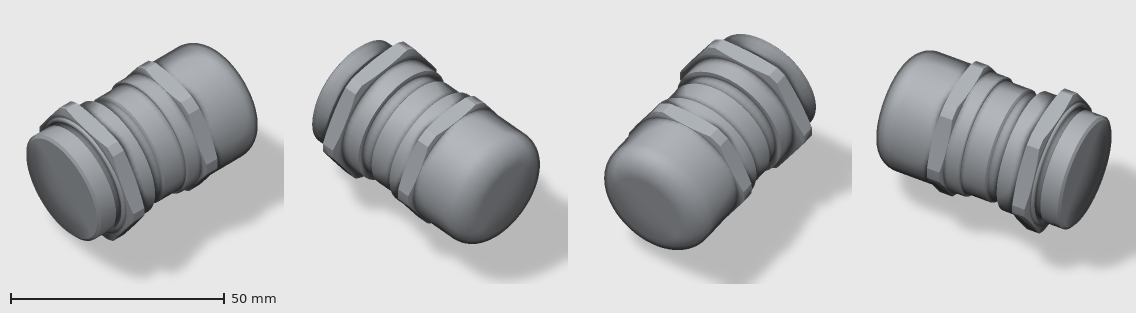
import cadquery as cq
import math

total_length = 49.75

thread_radius = 14.1
thread_root_radius = 13.35
body_radius = 14.9
seal_radius = 15.25
seal_section_radius = 0.65

entry_thread_end = 5.4
body_nut_start = 7.0
body_end = 16.1
cap_thread_start = 19.1
cap_start = 25.9
cap_nut_start = 29.95
dome_radius = 5.55
dome_start = total_length - dome_radius

thread_chamfer = thread_radius - thread_root_radius
thread_chamfer_length = 0.55
thread_runout_length = 0.35
cap_chamfer = 0.25

nut_width = 4.05
nut_chamfer_length = 0.4
body_nut_across_flats = 32.0
body_nut_corner_radius = 17.75
cap_nut_across_flats = 30.05
cap_nut_corner_radius = 16.45


def turned_body():
    """Revolve the stepped gland profile about the Y axis."""
    arc_offset = math.sqrt(0.5)
    return (
        cq.Workplane("XY")
        .moveTo(0, 0)
        .lineTo(thread_radius - thread_chamfer, 0)
        .lineTo(thread_radius, thread_chamfer_length)
        .lineTo(thread_radius, entry_thread_end - thread_runout_length)
        .lineTo(thread_root_radius, entry_thread_end)
        .lineTo(thread_root_radius, body_nut_start)
        .lineTo(seal_radius - 2 * seal_section_radius, body_nut_start)
        .threePointArc(
            (seal_radius - seal_section_radius, body_nut_start - seal_section_radius),
            (seal_radius, body_nut_start),
        )
        .lineTo(body_radius, body_nut_start + nut_width / 2)
        .lineTo(body_radius, body_end)
        .lineTo(thread_root_radius, body_end)
        .lineTo(thread_root_radius, cap_thread_start)
        .lineTo(thread_radius, cap_thread_start + thread_chamfer_length)
        .lineTo(thread_radius, cap_start)
        .lineTo(body_radius - cap_chamfer, cap_start)
        .lineTo(body_radius, cap_start + cap_chamfer)
        .lineTo(body_radius, dome_start)
        .threePointArc(
            (body_radius - dome_radius * (1 - arc_offset), dome_start + dome_radius * arc_offset),
            (body_radius - dome_radius, total_length),
        )
        .lineTo(0, total_length)
        .close()
        .revolve(360, (0, 0, 0), (0, 1, 0))
    )


def hexagon_nut(start, across_flats, corner_radius):
    """Hexagon with flats facing +Z and -Z, both ends chamfered at the corners."""
    end = start + nut_width
    flat_radius = across_flats / 2
    across_corners = across_flats / math.cos(math.radians(30))
    hexagon = cq.Workplane("XZ", origin=(0, start, 0)).polygon(6, across_corners).extrude(-nut_width)
    corner_envelope = (
        cq.Workplane("XY")
        .polyline([
            (0, start),
            (flat_radius, start),
            (corner_radius, start + nut_chamfer_length),
            (corner_radius, end - nut_chamfer_length),
            (flat_radius, end),
            (0, end),
        ])
        .close()
        .revolve(360, (0, 0, 0), (0, 1, 0))
    )
    return hexagon.intersect(corner_envelope)


body_nut = hexagon_nut(body_nut_start, body_nut_across_flats, body_nut_corner_radius)
cap_nut = hexagon_nut(cap_nut_start, cap_nut_across_flats, cap_nut_corner_radius)
result = turned_body().union(body_nut).union(cap_nut)